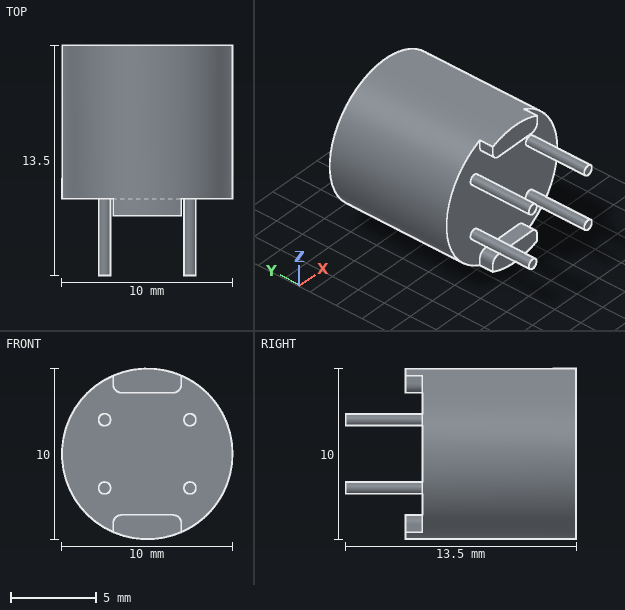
import cadquery as cq

total_length = 13.5
body_diameter = 10.0
body_length = 9.0
pin_diameter = 0.7
pin_pitch_x = 5.0
pin_pitch_z = 4.0
foot_width = 4.0
foot_height = 1.0
foot_inner_offset = 3.58
foot_corner_radius = 0.5

body_radius = body_diameter / 2
pin_length = total_length - body_length


def cylinder_along_y(diameter, length):
    """Cylinder centred on the Y axis, from the pin face at Y = 0 towards -Y."""
    return cq.Workplane("XZ").circle(diameter / 2).extrude(length)


def make_body():
    return cylinder_along_y(body_diameter, -body_length)


def make_pins():
    return (
        cq.Workplane("XZ")
        .rarray(pin_pitch_x, pin_pitch_z, 2, 2)
        .circle(pin_diameter / 2)
        .extrude(pin_length)
    )


def make_upper_foot():
    """Standoff foot with rounded inner corners, trimmed to the body's rim."""
    block_depth = body_radius - foot_inner_offset
    block = (
        cq.Workplane("XZ")
        .center(0, foot_inner_offset + block_depth / 2)
        .rect(foot_width, block_depth)
        .extrude(foot_height)
        .faces("<Z")
        .edges("|Y")
        .fillet(foot_corner_radius)
    )
    return block.intersect(cylinder_along_y(body_diameter, foot_height))


upper_foot = make_upper_foot()
lower_foot = upper_foot.mirror("XY")

result = make_body().union(make_pins()).union(upper_foot).union(lower_foot)